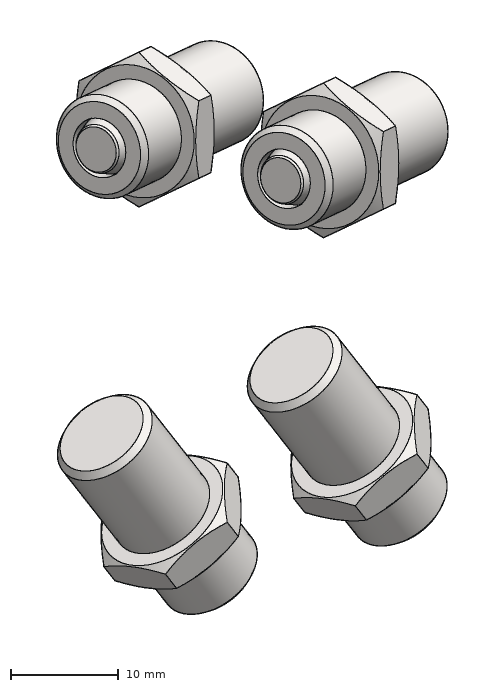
import cadquery as cq
import math

fitting_count = 2
fitting_spacing = 20.0

sleeve_diameter = 10.0
sleeve_front_diameter = 8.9
sleeve_length = 22.0
sleeve_back_chamfer = 0.63
bore_diameter = 5.7

nut_across_flats = 13.0
nut_back_offset = 12.0
nut_thickness = 3.5
nut_face_diameter = 12.77
nut_chamfer_angle = 30

pin_protrusion = 0.6
pin_shoulder_diameter = 4.7
pin_tip_diameter = 4.35
pin_tip_chamfer_length = 0.23
pin_taper_length = 1.8

sleeve_front_chamfer = (sleeve_diameter - sleeve_front_diameter) / 2
pin_length = pin_taper_length + pin_tip_chamfer_length
bore_depth = pin_length - pin_protrusion
nut_across_corners = nut_across_flats / math.cos(math.radians(30))


def revolve_profile(points):
    """Revolve (radius, distance along -Y) points about the Y axis."""
    profile = cq.Workplane("XY").polyline([(radius, -distance) for radius, distance in points]).close()
    return profile.revolve(360, (0, 0, 0), (0, 1, 0))


def make_sleeve():
    """Cylinder with a 45 degree chamfer at both ends, with a blind bore in its front face."""
    outer_radius = sleeve_diameter / 2
    back_radius = outer_radius - sleeve_back_chamfer
    bore_radius = bore_diameter / 2
    bore_floor = sleeve_length - bore_depth
    return revolve_profile([
        (0, 0),
        (back_radius, 0),
        (outer_radius, sleeve_back_chamfer),
        (outer_radius, sleeve_length - sleeve_front_chamfer),
        (sleeve_front_diameter / 2, sleeve_length),
        (bore_radius, sleeve_length),
        (bore_radius, bore_floor),
        (0, bore_floor),
    ])


def make_nut():
    """Hexagon with corners on +Z and -Z, trimmed by a cone at each face and bored for the sleeve."""
    hexagon = (
        cq.Workplane("XZ", origin=(0, -nut_back_offset, 0))
        .transformed(rotate=(0, 0, 90))
        .polygon(6, nut_across_corners)
        .extrude(nut_thickness)
    )
    face_radius = nut_face_diameter / 2
    corner_radius = nut_across_corners / 2
    bore_radius = sleeve_diameter / 2
    chamfer_length = (corner_radius - face_radius) * math.tan(math.radians(nut_chamfer_angle))
    nut_front_offset = nut_back_offset + nut_thickness
    chamfered_ring = revolve_profile([
        (bore_radius, nut_back_offset),
        (face_radius, nut_back_offset),
        (corner_radius, nut_back_offset + chamfer_length),
        (corner_radius, nut_front_offset - chamfer_length),
        (face_radius, nut_front_offset),
        (bore_radius, nut_front_offset),
    ])
    return hexagon.intersect(chamfered_ring)


def make_pin():
    """Tapered pin seated on the bore floor, with a chamfered tip."""
    pin_tip = sleeve_length + pin_protrusion
    pin_base = pin_tip - pin_length
    return revolve_profile([
        (0, pin_base),
        (bore_diameter / 2, pin_base),
        (pin_shoulder_diameter / 2, pin_tip - pin_tip_chamfer_length),
        (pin_tip_diameter / 2, pin_tip),
        (0, pin_tip),
    ])


bodies = []
for index in range(fitting_count):
    x = (index - (fitting_count - 1) / 2) * fitting_spacing
    for make_body in (make_sleeve, make_nut, make_pin):
        bodies.append(make_body().translate((x, 0, 0)).val())

result = cq.Compound.makeCompound([solid for body in bodies for solid in body.Solids()])